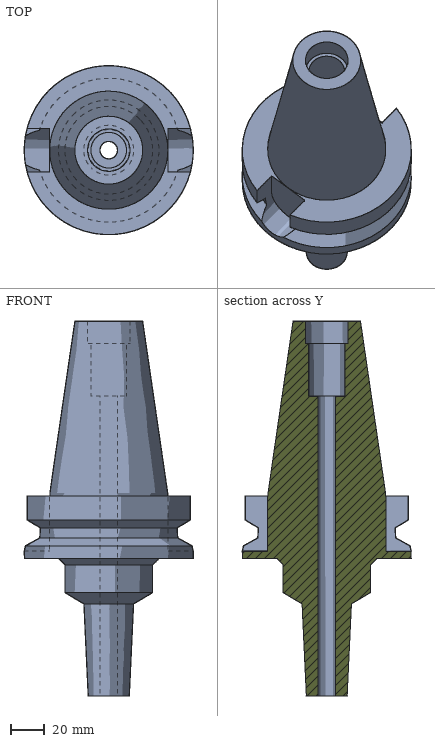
import cadquery as cq

total_height = 221.8
top_z = total_height / 2
bottom_z = -top_z

taper_length = 101.8
taper_large_radius = 34.93
taper_slope = 7 / 48
taper_small_radius = taper_large_radius - taper_length * taper_slope
collar_height = 1.5

flange_radius = 50.02
groove_radius = 42.5
upper_rim_height = 14.2
groove_flank_height = 4.7
groove_floor_height = 6.0
lower_rim_height = 7.5

neck_cone_radius = 29.7
neck_radius = 26.0
neck_cone_height = neck_cone_radius - neck_radius
neck_height = 16.5
shoulder_height = 6.7
shank_top_radius = 14.75
shank_tip_radius = 12.2

counterbore_radius = 12.53
counterbore_depth = 13.0
thread_bore_radius = 10.54
thread_bore_depth = 44.4
through_bore_radius = 5.0

slot_radius = 12.9
slot_depth = 32.5
slot_floor_x = 35.0

gauge_z = top_z - taper_length
flange_top_z = gauge_z - collar_height
groove_top_z = flange_top_z - upper_rim_height
groove_floor_top_z = groove_top_z - groove_flank_height
groove_floor_bottom_z = groove_floor_top_z - groove_floor_height
groove_bottom_z = groove_floor_bottom_z - groove_flank_height
flange_bottom_z = groove_bottom_z - lower_rim_height
neck_top_z = flange_bottom_z - neck_cone_height
neck_bottom_z = neck_top_z - neck_height
shank_top_z = neck_bottom_z - shoulder_height


def make_body():
    """Solid of revolution, outlined as radius and height."""
    outline = [
        (0, top_z),
        (taper_small_radius, top_z),
        (taper_large_radius, gauge_z),
        (taper_large_radius, flange_top_z),
        (flange_radius, flange_top_z),
        (flange_radius, groove_top_z),
        (groove_radius, groove_floor_top_z),
        (groove_radius, groove_floor_bottom_z),
        (flange_radius, groove_bottom_z),
        (flange_radius, flange_bottom_z),
        (neck_cone_radius, flange_bottom_z),
        (neck_radius, neck_top_z),
        (neck_radius, neck_bottom_z),
        (shank_top_radius, shank_top_z),
        (shank_tip_radius, bottom_z),
        (0, bottom_z),
    ]
    return cq.Workplane("XZ").polyline(outline).close().revolve(360, (0, 0), (0, 1))


def make_bore(radius, depth):
    """Cylinder going down from the top face."""
    return cq.Workplane("XY", origin=(0, 0, top_z)).circle(radius).extrude(-depth)


def make_slot(side):
    """Round-bottomed slot cutter on one side of the flange (-1 or +1 along X)."""
    round_center_z = flange_top_z - slot_depth + slot_radius
    return (
        cq.Workplane("YZ", origin=(side * slot_floor_x, 0, 0))
        .moveTo(-slot_radius, flange_top_z)
        .lineTo(-slot_radius, round_center_z)
        .threePointArc((0, flange_top_z - slot_depth), (slot_radius, round_center_z))
        .lineTo(slot_radius, flange_top_z)
        .close()
        .extrude(side * flange_radius)
    )


result = make_body()
for bore_radius, bore_depth in (
    (counterbore_radius, counterbore_depth),
    (thread_bore_radius, thread_bore_depth),
    (through_bore_radius, total_height),
):
    result = result.cut(make_bore(bore_radius, bore_depth))
for slot_side in (-1, 1):
    result = result.cut(make_slot(slot_side))